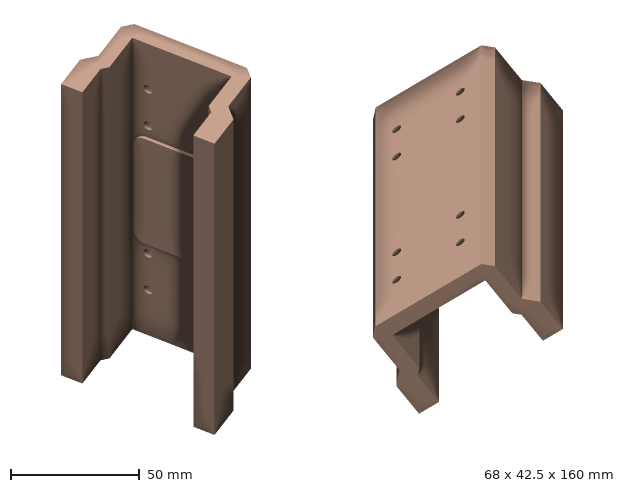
import cadquery as cq

length = 160.0
outer_width = 68.0
depth = 42.5
back_width = 57.6
back_chamfer = 3.8
web_thickness = 7.0
cavity_width = 44.0
mouth_width = 49.1
outer_step_depth = 22.0
inner_step_depth = 25.5

pad_width = 41.0
pad_height = 57.6
pad_thickness = 1.5
pad_corner_radius = 5.0

hole_diameter = 4.2
hole_spacing_x = 30.0
hole_row_spans = (70.0, 110.0)

back_y = depth / 2
front_y = -depth / 2
web_inner_y = back_y - web_thickness


def make_channel():
    """Extrude the symmetric channel section, with both steps sloping at 45 degrees."""
    outer_flare = (outer_width - back_width) / 2
    inner_flare = (mouth_width - cavity_width) / 2
    outer_step_y = back_y - outer_step_depth
    inner_step_y = back_y - inner_step_depth
    right_half = [
        (back_width / 2 - back_chamfer, back_y),
        (back_width / 2, back_y - back_chamfer),
        (back_width / 2, outer_step_y),
        (outer_width / 2, outer_step_y - outer_flare),
        (outer_width / 2, front_y),
        (mouth_width / 2, front_y),
        (mouth_width / 2, inner_step_y - inner_flare),
        (cavity_width / 2, inner_step_y),
        (cavity_width / 2, web_inner_y),
    ]
    left_half = [(-x, y) for x, y in reversed(right_half)]
    section = cq.Workplane("XY").polyline(right_half + left_half).close()
    return section.extrude(length / 2, both=True)


def make_pad():
    """Rounded pad, starting inside the web so that it joins it fully."""
    pad = cq.Workplane("XY").box(pad_width, web_thickness, pad_height)
    pad = pad.edges("|Y").fillet(pad_corner_radius)
    return pad.translate((0, web_inner_y - pad_thickness + web_thickness / 2, 0))


def make_holes():
    """Cylinders running through the web along Y."""
    holes = cq.Workplane("XZ", origin=(0, back_y, 0))
    for row_span in hole_row_spans:
        holes = holes.rarray(hole_spacing_x, row_span, 2, 2).circle(hole_diameter / 2).extrude(web_thickness)
    return holes


result = make_channel().union(make_pad()).cut(make_holes())